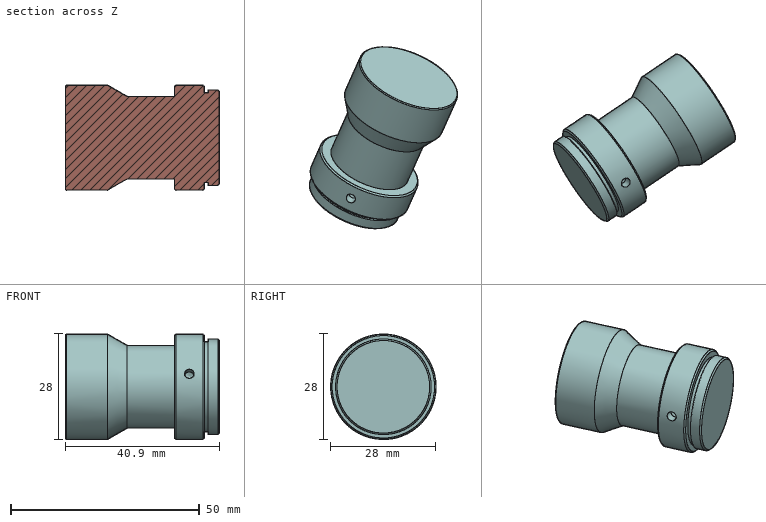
import cadquery as cq
import math

length = 40.9
head_end = 11.15
cone_end = 16.4
collar_start = 28.9
collar_end = 36.9
flange_start = 37.9

body_diameter = 28.0
neck_diameter = 22.0
groove_diameter = 24.0
flange_diameter = 25.4
head_chamfer = 0.3
edge_chamfer = 0.4

hole_diameter = 2.5
hole_depth = 3.0
drill_point_angle = 118.0
hole_count = 3
first_hole_angle = 45.7
hole_x = (collar_start + collar_end) / 2


def cylinder(start, end, diameter):
    """Solid cylinder along X between two stations."""
    return cq.Workplane("YZ", origin=(start, 0, 0)).circle(diameter / 2).extrude(end - start)


def cone_transition():
    """Taper from the head down to the neck."""
    return (
        cq.Workplane("YZ", origin=(head_end, 0, 0))
        .circle(body_diameter / 2)
        .workplane(offset=cone_end - head_end)
        .circle(neck_diameter / 2)
        .loft(ruled=True)
    )


def radial_hole(angle):
    """Cutter for a drilled blind hole with a conical bottom, entering the collar along its radius."""
    hole_radius = hole_diameter / 2
    mouth = body_diameter / 2
    shoulder = mouth - hole_depth
    tip = shoulder - hole_radius / math.tan(math.radians(drill_point_angle / 2))
    cutter = (
        cq.Workplane("XY", origin=(hole_x, 0, 0))
        .moveTo(0, tip)
        .lineTo(hole_radius, shoulder)
        .lineTo(hole_radius, mouth)
        .lineTo(0, mouth)
        .close()
        .revolve(360, (0, 0, 0), (0, 1, 0))
    )
    return cutter.rotate((0, 0, 0), (1, 0, 0), angle)


head = cylinder(0, head_end, body_diameter).faces("<X").chamfer(head_chamfer)
neck = cylinder(cone_end, collar_start, neck_diameter)
collar = cylinder(collar_start, collar_end, body_diameter).faces("<X or >X").chamfer(edge_chamfer)
groove = cylinder(collar_end, flange_start, groove_diameter)
flange = cylinder(flange_start, length, flange_diameter).faces(">X").chamfer(edge_chamfer)

result = head.union(cone_transition()).union(neck).union(collar).union(groove).union(flange)

for index in range(hole_count):
    result = result.cut(radial_hole(first_hole_angle + index * 360 / hole_count))